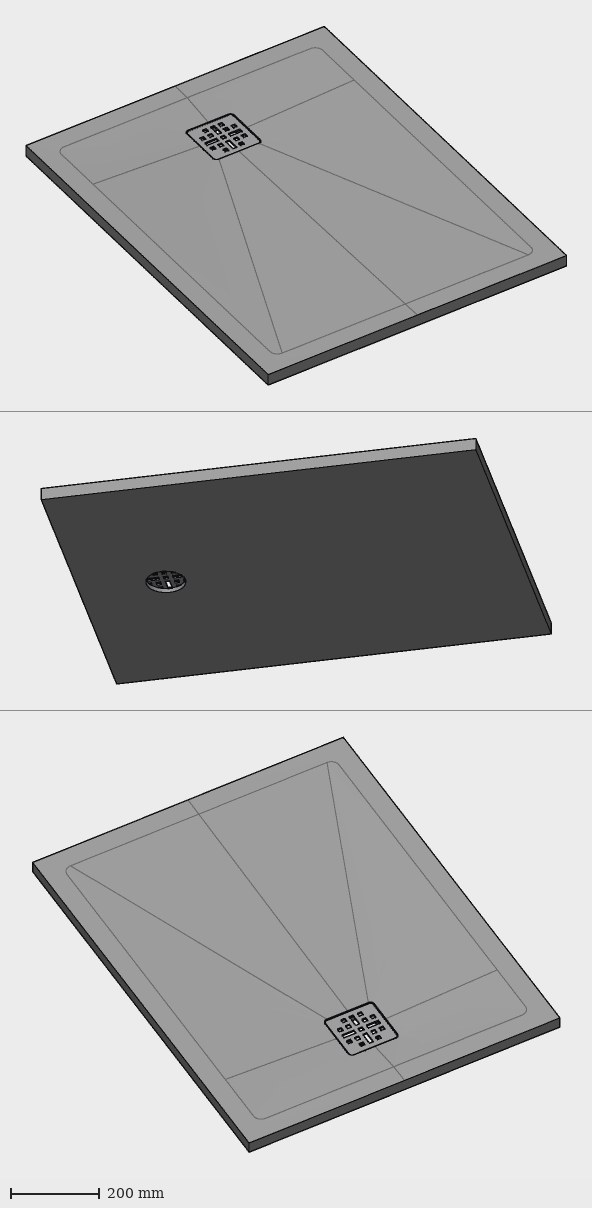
import cadquery as cq
LENGTH = 1000.0
WIDTH = 800.0
HEIGHT = 30.0

RIM_WIDTH = 50.0
RIM_DROP = 1.0
FLOOR_LENGTH = LENGTH - 2 * RIM_WIDTH
FLOOR_WIDTH = WIDTH - 2 * RIM_WIDTH
FLOOR_CORNER = 20.0
FLOOR_EDGE_Z = HEIGHT - RIM_DROP

DRAIN_X = -300.0
DRAIN_Z = 16.0
RECESS_SIDE = 127.0
RECESS_CORNER = 10.0
RECESS_DEPTH = 5.0
RECESS_FLOOR_Z = DRAIN_Z - RECESS_DEPTH
BORE_DIAMETER = 90.0

GRATE_GAP = 2.0
GRATE_SIDE = RECESS_SIDE - 2 * GRATE_GAP
GRATE_CORNER = RECESS_CORNER - GRATE_GAP
GRATE_THICKNESS = 4.0
HOLE_SIDE = 10.0
HOLE_PITCH = 21.0
SLOT_LENGTH = HOLE_PITCH + HOLE_SIDE
SLOT_OFFSET = 1.5 * HOLE_PITCH

SAMPLES_PER_EDGE = 30


def half_outline(center_x, length, width, corner, z):
    """Edges of the +Y half of a rounded rectangle, from its +X end to its -X end.

    The straight edge along +Y is split at the drain's X position.
    """
    right = center_x + length / 2
    left = center_x - length / 2
    back = width / 2
    bulge = corner * (1 - 0.5**0.5)
    line = cq.Edge.makeLine
    arc = cq.Edge.makeThreePointArc

    def point(x, y):
        return cq.Vector(x, y, z)

    return [
        line(point(right, 0), point(right, back - corner)),
        arc(
            point(right, back - corner),
            point(right - bulge, back - bulge),
            point(right - corner, back),
        ),
        line(point(right - corner, back), point(DRAIN_X, back)),
        line(point(DRAIN_X, back), point(left + corner, back)),
        arc(
            point(left + corner, back),
            point(left + bulge, back - bulge),
            point(left, back - corner),
        ),
        line(point(left, back - corner), point(left, 0)),
    ]


def patch(outer, inner):
    """Smooth face between two matching runs of edges, closed by a straight edge at each end."""
    first = cq.Edge.makeLine(outer[0].startPoint(), inner[0].startPoint())
    last = cq.Edge.makeLine(outer[-1].endPoint(), inner[-1].endPoint())
    return cq.Face.makeNSidedSurface([first, *outer, last, *inner], [], nbPtsOnCur=SAMPLES_PER_EDGE)


def rim_half(floor_edges):
    """+Y half of the rim's top face."""
    x = LENGTH / 2
    y = WIDTH / 2
    corners = [cq.Vector(px, py, HEIGHT) for px, py in [(x, 0), (x, y), (-x, y), (-x, 0)]]
    outer_edges = [cq.Edge.makeLine(a, b) for a, b in zip(corners, corners[1:])]
    return patch(outer_edges, floor_edges)


def floor_half(floor_edges, drain_edges):
    """+Y half of the floor: a flat slope, a corner patch and an end patch."""
    sections = [slice(0, 1), slice(1, 3), slice(3, 6)]
    return [patch(floor_edges[section], drain_edges[section]) for section in sections]


def rounded_plate(side, corner, bottom_z, thickness):
    """Square plate with rounded corners, centred on the drain."""
    return (
        cq.Workplane("XY", origin=(DRAIN_X, 0, bottom_z))
        .rect(side, side)
        .extrude(thickness)
        .edges("|Z")
        .fillet(corner)
    )


def make_tray():
    floor_edges = half_outline(0, FLOOR_LENGTH, FLOOR_WIDTH, FLOOR_CORNER, FLOOR_EDGE_Z)
    drain_edges = half_outline(DRAIN_X, RECESS_SIDE, RECESS_SIDE, RECESS_CORNER, DRAIN_Z)

    half_top = [rim_half(floor_edges), *floor_half(floor_edges, drain_edges)]
    other_half_top = [face.mirror("XZ") for face in half_top]

    block = cq.Workplane("XY").box(LENGTH, WIDTH, HEIGHT, centered=(True, True, False))
    recess = rounded_plate(RECESS_SIDE, RECESS_CORNER, RECESS_FLOOR_Z, RECESS_DEPTH)
    block_faces = block.faces("not >Z").vals()
    recess_faces = recess.faces("not >Z").vals()

    shell = cq.Shell.makeShell(half_top + other_half_top + block_faces + recess_faces)
    tray = cq.Workplane(cq.Solid.makeSolid(shell))

    bore = cq.Workplane("XY", origin=(DRAIN_X, 0, 0)).circle(BORE_DIAMETER / 2).extrude(HEIGHT)
    return tray.cut(bore, clean=False).solids()


def cut_holes(plate, centres, x_size, y_size):
    """Cut rectangular holes through the plate, at centres measured from the drain."""
    top = plate.faces(">Z").workplane(origin=(DRAIN_X, 0, 0))
    return top.pushPoints(centres).rect(x_size, y_size).cutThruAll()


def make_grate():
    grate = rounded_plate(GRATE_SIDE, GRATE_CORNER, RECESS_FLOOR_Z, GRATE_THICKNESS)
    signs = (-1, 1)
    quadrant = [(1, 1), (2, 1), (1, 2)]

    squares = [(0, 0)]
    for column, row in quadrant:
        for x_sign in signs:
            for y_sign in signs:
                squares.append((x_sign * column * HOLE_PITCH, y_sign * row * HOLE_PITCH))
    grate = cut_holes(grate, squares, HOLE_SIDE, HOLE_SIDE)

    x_slots = [(sign * SLOT_OFFSET, 0) for sign in signs]
    grate = cut_holes(grate, x_slots, SLOT_LENGTH, HOLE_SIDE)

    y_slots = [(0, sign * SLOT_OFFSET) for sign in signs]
    grate = cut_holes(grate, y_slots, HOLE_SIDE, SLOT_LENGTH)
    return grate.solids()


tray = make_tray()
grate = make_grate()
result = cq.Compound.makeCompound([tray.val(), grate.val()])